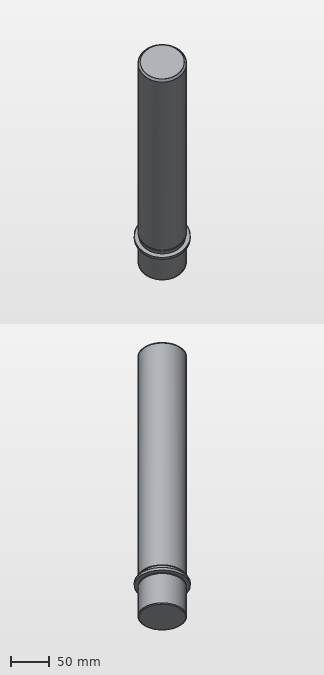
import cadquery as cq

total_height = 409.0
body_diameter = 63.0
flange_diameter = 73.0
neck_diameter = 60.5

neck_bottom = 48.0
flange_bottom = 49.0
flange_thickness = 4.0
neck_top = 60.5

top_chamfer = 3.0
bottom_chamfer = 1.2


def cylinder(diameter, bottom, top):
    """Solid cylinder on the Z axis between two heights."""
    return cq.Workplane("XY").workplane(offset=bottom).circle(diameter / 2).extrude(top - bottom)


spigot = cylinder(body_diameter, 0, neck_bottom).faces("<Z").chamfer(bottom_chamfer)

flange = cylinder(flange_diameter, flange_bottom, flange_bottom + flange_thickness)

neck = cylinder(neck_diameter, neck_bottom, neck_top)

shaft = cylinder(body_diameter, neck_top, total_height).faces(">Z").chamfer(top_chamfer)

result = spigot.union(flange).union(neck).union(shaft)